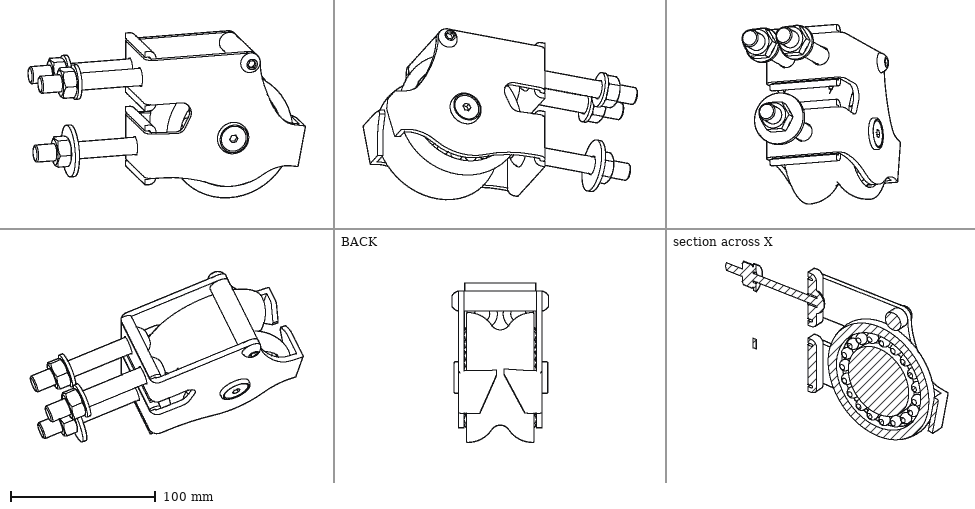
import cadquery as cq
import math


INNER_HALF_WIDTH = 25.0
SHEET = 4.0
OUTER_HALF_WIDTH = INNER_HALF_WIDTH + SHEET
CORNER_BEND_RADIUS = 6.0
WALL_FACE_Y = -62.0
WALL_INNER_Y = WALL_FACE_Y + SHEET
BRACKET_TOP_Z = 60.0
WALL_HEIGHT = 32.0
UPPER_WALL_Z = BRACKET_TOP_Z - WALL_HEIGHT / 2
LOWER_WALL_Z = -9.0
BRACKET_BOTTOM_Z = LOWER_WALL_Z - WALL_HEIGHT / 2
SLOT_TOP_Z = UPPER_WALL_Z - WALL_HEIGHT / 2
SLOT_BOTTOM_Z = LOWER_WALL_Z + WALL_HEIGHT / 2
SLOT_TOP_END_Y = -24.8
SLOT_BOTTOM_END_Y = -36.0
SLOT_BOTTOM_END_Z = 6.0
SLOT_TOP_RADIUS = 7.8
SLOT_BOTTOM_RADIUS = 6.3
BELLY_RADIUS = 34.9
BACK_EDGE_POINTS = [(24.2, 31.5), (35.2, 11.3)]
TAIL_HOLLOW_MIDDLE = (31.5, -24.0)
TAIL_HOLLOW_END = (22.3, -28.0)
BELLY_START = (16.7, -31.2)
BELLY_END = (-15.0, -32.1)
FRONT_HOLLOW_MIDDLE = (-33.0, -26.8)
FRONT_HOLLOW_END_Y = -51.8

TAIL_TILT = 10.7
TAIL_HEIGHT = 29.4
TAIL_TOP_LENGTH = 8.2
TAIL_BOTTOM_LENGTH = 7.1
TAIL_TOP_Y = 52.85
TAIL_TOP_Z = 4.2
TAIL_EDGE_RADIUS = 1.4
HOOK_TOP_RADIUS = 1.2
HOOK_BEND_ANGLE = 20.0
HOOK_BEND_RADIUS = 8.0
HOOK_GAP_HALF = 2.45
HOOK_TIP_HEIGHT = 3.0
LONG_HOOK_BEND_X = 16.9
LONG_HOOK_FOOT_X = 16.9
SHORT_HOOK_BEND_X = 6.7
SHORT_HOOK_FOOT_X = 14.0

BACKING_HALF_WIDTH = 24.6
BACKING_BEND_RADIUS = 1.0
LIP_REACH = 5.45
LIP_EDGE_RADIUS = 0.5

WHEEL_RADIUS = 45.0
WHEEL_HALF_WIDTH = 23.5
WHEEL_EDGE_RADIUS = 1.0
GROOVE_DEPTH = 12.0
GROOVE_BOTTOM_RADIUS = 7.0

BALL_COUNT = 19
BALL_RADIUS = 4.0
BALL_CIRCLE_RADIUS = 31.7
BALL_CLEARANCE = 0.1
RACE_WIDTH = 10.0
RACE_DEPTH = 6.0

AXLE_DIAMETER = 16.0
CAP_DIAMETER = 22.0
CAP_RIM_DIAMETER = 19.75
LEFT_CAP_THICKNESS = 4.0
RIGHT_CAP_THICKNESS = 3.0
CAP_GROOVE_DEPTH = 0.3
AXLE_HEX = 5.0
AXLE_HEX_DEPTH = 4.0

TIE_Y = 12.75
TIE_DIAMETER = 14.0
TIE_THREAD_DIAMETER = 8.0
TIE_CORNER_RADIUS = 7.1
TIE_Z = BRACKET_TOP_Z - TIE_CORNER_RADIUS
TIE_HEAD_HEIGHT = 4.395
TIE_HEAD_FLAT = 7.5
TIE_HEX = 5.0
TIE_HEX_DEPTH = 2.6
DRILL_POINT_DEPTH = 1.2

BOLT_DIAMETER = 12.0
BOLT_END_Y = -134.0
BOLT_END_CHAMFER = 0.9
BOLT_HOLE_DIAMETER = 13.0
BOLT_HEAD_DIAMETER = 21.0
BOLT_HEAD_HEIGHT = 6.6
BOLT_HEAD_FLAT = 10.5
UPPER_BOLT_X = 12.5
WASHER_FACE_Y = -107.0
NUT_HEX = 19.0
NUT_HEIGHT = 10.0
NUT_FACE_RATIO = 0.93
NUT_CHAMFER_ANGLE = 30.0
BOLTS = (
    (-UPPER_BOLT_X, UPPER_WALL_Z, 24.0, 2.5),
    (UPPER_BOLT_X, UPPER_WALL_Z, 24.0, 2.5),
    (0.0, LOWER_WALL_Z, 36.0, 3.0),
)


def both_sides(shape):
    """The shape joined with its mirror image on the other side of the YZ plane."""
    return shape.union(shape.mirror("YZ"))


def x_cylinder(diameter, x_start, x_end, y=0.0, z=0.0):
    plane = cq.Plane(origin=(x_start, y, z), xDir=(0, 1, 0), normal=(1, 0, 0))
    return cq.Workplane(plane).circle(diameter / 2).extrude(x_end - x_start)


def y_cylinder(diameter, x, z, y_start, y_end):
    """A cylinder that runs from y_start down to y_end, towards -Y."""
    plane = cq.Plane(origin=(x, y_start, z), xDir=(1, 0, 0), normal=(0, -1, 0))
    return cq.Workplane(plane).circle(diameter / 2).extrude(y_start - y_end)


def hexagon_diameter(across_flats):
    return across_flats / math.cos(math.pi / 6)


def nearest(x, y, z):
    return cq.selectors.NearestToPointSelector((x, y, z))


def tail_point(along, height):
    """Y and Z of a point of the tail: how far in from its end and how far below its top edge."""
    tilt = math.radians(TAIL_TILT)
    return (
        TAIL_TOP_Y - along * math.cos(tilt) - height * math.sin(tilt),
        TAIL_TOP_Z + along * math.sin(tilt) - height * math.cos(tilt),
    )


def side_outline():
    """The bracket seen along X, from the wall around the tie rod, the tail and the belly."""
    diagonal = TIE_CORNER_RADIUS * math.sqrt(0.5)
    tilt = math.radians(TAIL_TILT)
    tail_direction = (math.cos(tilt), -math.sin(tilt))
    return (
        cq.Workplane("YZ")
        .moveTo(WALL_FACE_Y, BRACKET_TOP_Z)
        .lineTo(TIE_Y, BRACKET_TOP_Z)
        .threePointArc((TIE_Y + diagonal, TIE_Z + diagonal), (TIE_Y + TIE_CORNER_RADIUS, TIE_Z))
        .spline(
            [*BACK_EDGE_POINTS, tail_point(TAIL_TOP_LENGTH, 0)],
            tangents=[(0, -1), tail_direction],
            includeCurrent=True,
        )
        .lineTo(*tail_point(SHEET, 0))
        .lineTo(*tail_point(SHEET, TAIL_HEIGHT))
        .lineTo(*tail_point(TAIL_BOTTOM_LENGTH, TAIL_HEIGHT))
        .threePointArc(TAIL_HOLLOW_MIDDLE, TAIL_HOLLOW_END)
        .lineTo(*BELLY_START)
        .threePointArc((0, -BELLY_RADIUS), BELLY_END)
        .threePointArc(FRONT_HOLLOW_MIDDLE, (FRONT_HOLLOW_END_Y, BRACKET_BOTTOM_Z))
        .lineTo(WALL_FACE_Y, BRACKET_BOTTOM_Z)
        .close()
    )


def wall_slot():
    """The slot that divides the front wall and runs into both side plates."""
    beyond_wall = WALL_FACE_Y - SHEET
    return (
        cq.Workplane("YZ")
        .moveTo(beyond_wall, SLOT_TOP_Z)
        .lineTo(SLOT_TOP_END_Y, SLOT_TOP_Z)
        .lineTo(SLOT_BOTTOM_END_Y, SLOT_BOTTOM_END_Z)
        .lineTo(WALL_INNER_Y, SLOT_BOTTOM_Z)
        .lineTo(beyond_wall, SLOT_BOTTOM_Z)
        .close()
        .extrude(OUTER_HALF_WIDTH, both=True)
        .edges("|X and >Y")
        .fillet(SLOT_TOP_RADIUS)
        .edges(nearest(0, SLOT_BOTTOM_END_Y, SLOT_BOTTOM_END_Z))
        .fillet(SLOT_BOTTOM_RADIUS)
    )


def plan_column(half_width, wall_y, corner_radius):
    """A column taller than the bracket, as long as the side plates, rounded at the wall corners."""
    return (
        cq.Workplane("XY")
        .box(2 * half_width, TAIL_TOP_Y - wall_y, 3 * BRACKET_TOP_Z, centered=(True, False, True))
        .translate((0, wall_y, 0))
        .edges("|Z and <Y")
        .fillet(corner_radius)
    )


def bracket():
    """One bent sheet: two side plates joined by the front wall."""
    block = side_outline().extrude(OUTER_HALF_WIDTH, both=True)
    sheet = block.intersect(plan_column(OUTER_HALF_WIDTH, WALL_FACE_Y, CORNER_BEND_RADIUS))
    sheet = sheet.cut(plan_column(INNER_HALF_WIDTH, WALL_INNER_Y, CORNER_BEND_RADIUS - SHEET))
    return sheet.cut(wall_slot())


def hook(bend_x, foot_x):
    """Tail closure on the +X side: a bent tongue whose lower corner is cut off at a slant."""
    slope = math.tan(math.radians(HOOK_BEND_ANGLE))
    drop = (bend_x - HOOK_GAP_HALF) * slope
    inner_bend_x = bend_x + SHEET * math.tan(math.radians(HOOK_BEND_ANGLE / 2))
    inner_drop = SHEET + (inner_bend_x - HOOK_GAP_HALF) * slope
    tongue = (
        cq.Workplane("XY")
        .moveTo(OUTER_HALF_WIDTH, 0)
        .lineTo(bend_x, 0)
        .lineTo(HOOK_GAP_HALF, -drop)
        .lineTo(HOOK_GAP_HALF, -inner_drop)
        .lineTo(inner_bend_x, -SHEET)
        .lineTo(OUTER_HALF_WIDTH, -SHEET)
        .close()
        .extrude(-TAIL_HEIGHT)
    )
    middle_z = -TAIL_HEIGHT / 2
    tongue = tongue.edges(nearest(bend_x, 0, middle_z)).fillet(HOOK_BEND_RADIUS + SHEET)
    tongue = tongue.edges(nearest(inner_bend_x, -SHEET, middle_z)).fillet(HOOK_BEND_RADIUS)
    slant = (
        cq.Workplane("XZ")
        .moveTo(HOOK_GAP_HALF, -HOOK_TIP_HEIGHT)
        .lineTo(foot_x, -TAIL_HEIGHT)
        .lineTo(HOOK_GAP_HALF, -TAIL_HEIGHT)
        .close()
        .extrude(inner_drop, both=True)
    )
    tongue = tongue.cut(slant)
    top_middle_x = (bend_x + OUTER_HALF_WIDTH) / 2
    tongue = tongue.edges(nearest(top_middle_x, 0, 0)).fillet(HOOK_TOP_RADIUS)
    rounded_corner = (
        cq.Workplane("XY")
        .rect(2 * OUTER_HALF_WIDTH, 2 * inner_drop)
        .extrude(-TAIL_HEIGHT)
        .translate((0, -inner_drop, 0))
        .edges("|Z and >X and >Y")
        .fillet(TAIL_EDGE_RADIUS)
    )
    tongue = tongue.intersect(rounded_corner)
    tilted = tongue.rotate((0, 0, 0), (1, 0, 0), -TAIL_TILT)
    return tilted.translate((0, TAIL_TOP_Y, TAIL_TOP_Z))


def backing_plate(middle_z):
    """A channel behind one wall, with a lip bent over the top and the bottom of the wall."""
    outside_radius = BACKING_BEND_RADIUS + SHEET
    web_y = WALL_INNER_Y + SHEET
    bend_y = WALL_INNER_Y - BACKING_BEND_RADIUS
    lip_z = WALL_HEIGHT / 2 + LIP_REACH
    bend_z = lip_z - outside_radius
    outer_diagonal = outside_radius * math.sqrt(0.5)
    inner_diagonal = BACKING_BEND_RADIUS * math.sqrt(0.5)
    half = (
        cq.Workplane("YZ")
        .moveTo(web_y, 0)
        .lineTo(web_y, bend_z)
        .threePointArc((bend_y + outer_diagonal, bend_z + outer_diagonal), (bend_y, lip_z))
        .lineTo(WALL_FACE_Y, lip_z)
        .lineTo(WALL_FACE_Y, lip_z - SHEET)
        .lineTo(bend_y, lip_z - SHEET)
        .threePointArc(
            (bend_y + inner_diagonal, bend_z + inner_diagonal), (WALL_INNER_Y, bend_z)
        )
        .lineTo(WALL_INNER_Y, 0)
        .close()
        .extrude(BACKING_HALF_WIDTH, both=True)
        .edges("|X and <Y")
        .fillet(LIP_EDGE_RADIUS)
    )
    return half.union(half.mirror("XY")).translate((0, 0, middle_z))


def wheel():
    """A wheel whose groove is a round bottom between two rounded shoulders."""
    shoulder_x = WHEEL_HALF_WIDTH - WHEEL_EDGE_RADIUS
    slope = 2 * math.atan(GROOVE_DEPTH / shoulder_x)
    shoulder_radius = shoulder_x / math.sin(slope) - GROOVE_BOTTOM_RADIUS
    bottom = WHEEL_RADIUS - GROOVE_DEPTH
    join = (
        GROOVE_BOTTOM_RADIUS * math.sin(slope),
        bottom + GROOVE_BOTTOM_RADIUS * (1 - math.cos(slope)),
    )
    shoulder_middle = (
        shoulder_x - shoulder_radius * math.sin(slope / 2),
        WHEEL_RADIUS - shoulder_radius * (1 - math.cos(slope / 2)),
    )
    edge_sagitta = WHEEL_EDGE_RADIUS * (1 - math.sqrt(0.5))
    profile = (
        cq.Workplane("XY")
        .lineTo(WHEEL_HALF_WIDTH, 0)
        .lineTo(WHEEL_HALF_WIDTH, WHEEL_RADIUS - WHEEL_EDGE_RADIUS)
        .threePointArc(
            (WHEEL_HALF_WIDTH - edge_sagitta, WHEEL_RADIUS - edge_sagitta),
            (shoulder_x, WHEEL_RADIUS),
        )
        .threePointArc(shoulder_middle, join)
        .threePointArc((0, bottom), (-join[0], join[1]))
        .threePointArc((-shoulder_middle[0], shoulder_middle[1]), (-shoulder_x, WHEEL_RADIUS))
        .threePointArc(
            (edge_sagitta - WHEEL_HALF_WIDTH, WHEEL_RADIUS - edge_sagitta),
            (-WHEEL_HALF_WIDTH, WHEEL_RADIUS - WHEEL_EDGE_RADIUS),
        )
        .lineTo(-WHEEL_HALF_WIDTH, 0)
        .close()
    )
    body = profile.revolve(360, (0, 0, 0), (1, 0, 0))
    race_floor = WHEEL_HALF_WIDTH - RACE_DEPTH
    race = x_cylinder(2 * BALL_CIRCLE_RADIUS + RACE_WIDTH, race_floor, WHEEL_HALF_WIDTH)
    race = race.cut(x_cylinder(2 * BALL_CIRCLE_RADIUS - RACE_WIDTH, race_floor, WHEEL_HALF_WIDTH))
    return body.cut(both_sides(race))


def balls():
    """The two rings of balls, which rest on the race floors and stop just short of the plates."""
    ball_x = INNER_HALF_WIDTH - BALL_CLEARANCE - BALL_RADIUS
    ring = cq.Workplane("XY")
    for index in range(BALL_COUNT):
        angle = 2 * math.pi * index / BALL_COUNT
        place = (
            ball_x,
            -BALL_CIRCLE_RADIUS * math.cos(angle),
            BALL_CIRCLE_RADIUS * math.sin(angle),
        )
        ring = ring.add(cq.Workplane("XY").sphere(BALL_RADIUS).translate(place))
    return ring.add(ring.mirror("YZ"))


def hex_socket(across_flats, face_x, depth, y=0.0, z=0.0):
    """The space of a hexagon socket that opens towards +X at face_x."""
    plane = cq.Plane(origin=(face_x, y, z), xDir=(0, 1, 0), normal=(-1, 0, 0))
    return cq.Workplane(plane).polygon(6, hexagon_diameter(across_flats)).extrude(depth)


def axle_cap(thickness):
    """The cap at the +X end: a rounded rim, a V groove around the axle and a hexagon socket."""
    face_x = OUTER_HALF_WIDTH + thickness
    rim_radius = (CAP_DIAMETER - CAP_RIM_DIAMETER) / 2
    groove_bottom = (face_x - CAP_GROOVE_DEPTH, (CAP_RIM_DIAMETER + AXLE_DIAMETER) / 4)
    cap = (
        cq.Workplane("XY")
        .moveTo(OUTER_HALF_WIDTH, 0)
        .lineTo(OUTER_HALF_WIDTH, CAP_DIAMETER / 2)
        .lineTo(face_x - rim_radius, CAP_DIAMETER / 2)
        .radiusArc((face_x, CAP_RIM_DIAMETER / 2), rim_radius)
        .lineTo(*groove_bottom)
        .lineTo(face_x, AXLE_DIAMETER / 2)
        .lineTo(face_x, 0)
        .close()
        .revolve(360, (0, 0, 0), (1, 0, 0))
    )
    return cap.cut(hex_socket(AXLE_HEX, face_x, AXLE_HEX_DEPTH))


def axle():
    rod = x_cylinder(AXLE_DIAMETER, -OUTER_HALF_WIDTH, OUTER_HALF_WIDTH)
    return rod.union(axle_cap(RIGHT_CAP_THICKNESS)).union(axle_cap(LEFT_CAP_THICKNESS).mirror("YZ"))


def button_head(diameter, height, flat_diameter):
    """A domed screw head on the origin that rises along +X."""
    radius = diameter / 2
    flat = flat_diameter / 2
    centre = (flat**2 + height**2 - radius**2) / (2 * height)
    sphere_radius = math.hypot(radius, centre)
    angle = (math.atan2(radius, -centre) + math.atan2(flat, height - centre)) / 2
    middle = (centre + sphere_radius * math.cos(angle), sphere_radius * math.sin(angle))
    return (
        cq.Workplane("XY")
        .lineTo(0, radius)
        .threePointArc(middle, (height, flat))
        .lineTo(height, 0)
        .close()
        .revolve(360, (0, 0, 0), (1, 0, 0))
    )


def tie_rod():
    face_x = OUTER_HALF_WIDTH + TIE_HEAD_HEIGHT
    head = button_head(TIE_DIAMETER, TIE_HEAD_HEIGHT, TIE_HEAD_FLAT)
    head = head.translate((OUTER_HALF_WIDTH, TIE_Y, TIE_Z))
    head = head.cut(hex_socket(TIE_HEX, face_x, TIE_HEX_DEPTH, TIE_Y, TIE_Z))
    point = cq.Solid.makeCone(
        TIE_HEX / 2,
        0,
        DRILL_POINT_DEPTH,
        pnt=cq.Vector(face_x - TIE_HEX_DEPTH, TIE_Y, TIE_Z),
        dir=cq.Vector(-1, 0, 0),
    )
    head = head.cut(cq.Workplane(point))
    thread = x_cylinder(TIE_THREAD_DIAMETER, -OUTER_HALF_WIDTH, OUTER_HALF_WIDTH, TIE_Y, TIE_Z)
    spacer = x_cylinder(TIE_DIAMETER, -INNER_HALF_WIDTH, INNER_HALF_WIDTH, TIE_Y, TIE_Z)
    return both_sides(head).union(thread).union(spacer)


def nut(x, z, start_y):
    """A hexagon nut with both ends chamfered to a cone."""
    end_y = start_y - NUT_HEIGHT
    plane = cq.Plane(origin=(x, start_y, z), xDir=(1, 0, 0), normal=(0, -1, 0))
    corner_diameter = hexagon_diameter(NUT_HEX)
    radial = (corner_diameter - NUT_FACE_RATIO * NUT_HEX) / 2
    axial = radial * math.tan(math.radians(NUT_CHAMFER_ANGLE))
    prism = cq.Workplane(plane).polygon(6, corner_diameter).extrude(NUT_HEIGHT)
    cones = y_cylinder(corner_diameter, x, z, start_y, end_y).faces("<Y or >Y").edges()
    return prism.intersect(cones.chamfer(axial, radial))


def bolt(x, z, washer_diameter, washer_thickness):
    head_y = WALL_INNER_Y + SHEET
    shank = y_cylinder(BOLT_DIAMETER, x, z, head_y, BOLT_END_Y)
    shank = shank.faces("<Y").chamfer(BOLT_END_CHAMFER)
    head = button_head(BOLT_HEAD_DIAMETER, BOLT_HEAD_HEIGHT, BOLT_HEAD_FLAT)
    head = head.rotate((0, 0, 0), (0, 0, 1), 90).translate((x, head_y, z))
    nut_y = WASHER_FACE_Y - washer_thickness
    washer = y_cylinder(washer_diameter, x, z, WASHER_FACE_Y, nut_y)
    washer = washer.cut(y_cylinder(BOLT_HOLE_DIAMETER, x, z, WASHER_FACE_Y, nut_y))
    return shank.union(head).union(nut(x, z, nut_y)).union(washer)


frame = bracket()
frame = frame.union(hook(SHORT_HOOK_BEND_X, SHORT_HOOK_FOOT_X))
frame = frame.union(hook(LONG_HOOK_BEND_X, LONG_HOOK_FOOT_X).mirror("YZ"))
for wall_z in (UPPER_WALL_Z, LOWER_WALL_Z):
    frame = frame.union(backing_plate(wall_z))
for bolt_x, bolt_z, _, _ in BOLTS:
    frame = frame.cut(
        y_cylinder(BOLT_HOLE_DIAMETER, bolt_x, bolt_z, WALL_INNER_Y + SHEET, WALL_FACE_Y)
    )

result = frame.union(wheel().union(balls())).union(axle()).union(tie_rod())
for bolt_sizes in BOLTS:
    result = result.union(bolt(*bolt_sizes))